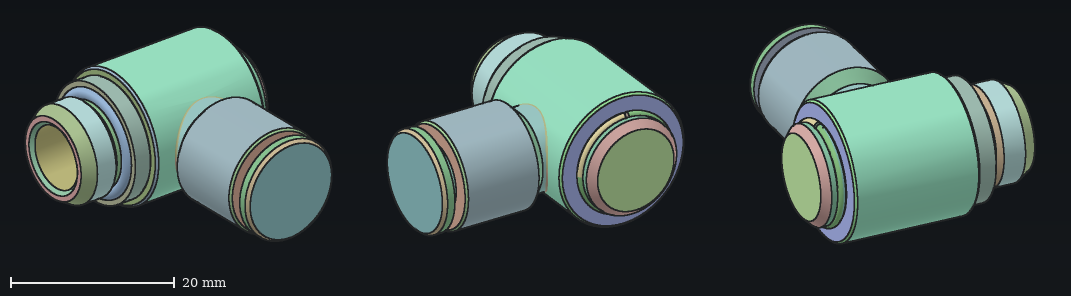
import cadquery as cq
import math


sleeve_radius = 9.0
sleeve_half_length = 8.5
sleeve_chamfer = 0.3

neck_radius = 5.5
neck_fillet = 0.2
cone_start = 9.6
barrel_radius = 7.0
barrel_start = cone_start + barrel_radius - neck_radius
barrel_end = 21.55
barrel_chamfer = 0.3
collet_radius = 4.65
collet_taper = 0.3
flange_radius = 6.75
flange_start = 23.05
branch_end = 24.6
flange_chamfer_length = 0.5
flange_chamfer_depth = 0.4

stem_radius = 6.5
end_radius = 5.5
collar_radius = 8.0
undercut_radius = 5.8

rear_end = 11.5
rear_chamfer = stem_radius - end_radius
collar_chamfer = 0.2
collar_front = -11.05
undercut_front = -12.15
thread_start = undercut_front - (stem_radius - undercut_radius)
thread_end = -15.75
front_end = -17.5

seal_center_radius = 6.4
seal_tube_radius = 0.88
seal_front = -11.7
seal_center = seal_front + seal_tube_radius

groove_floor_radius = 6.0
groove_rear = 9.7
ring_center = (sleeve_half_length + groove_rear) / 2
ring_center_radius = 6.4
ring_tube_radius = 0.5
ring_gap = 0.5

bore_radius = 4.2
bore_mouth_radius = 4.75
bore_countersink_depth = 0.5
bore_floor = neck_radius


def revolve_about_y(points):
    """Solid of revolution about Y from (radius, y) points."""
    return cq.Workplane("XY").polyline(points).close().revolve(360, (0, 0), (0, 1))


def ring_about_y(center_radius, tube_radius, y):
    """Round-section ring about Y."""
    section = cq.Workplane("XY").center(center_radius, y).circle(tube_radius)
    return section.revolve(360, (-center_radius, 0), (-center_radius, 1))


def y_cylinder(radius, y_start, y_end):
    """Cylinder about Y between two places."""
    return cq.Workplane("XZ", origin=(0, y_start, 0)).circle(radius).extrude(y_start - y_end)


def make_branch():
    """Barrel and release collet, revolved about X as (x, radius) points."""
    return (
        cq.Workplane("XY")
        .polyline([
            (cone_start, 0),
            (cone_start, neck_radius),
            (barrel_start, barrel_radius),
            (barrel_end - barrel_chamfer, barrel_radius),
            (barrel_end, barrel_radius - barrel_chamfer),
            (barrel_end, collet_radius),
            (flange_start - collet_taper, collet_radius),
            (flange_start, collet_radius + collet_taper),
            (flange_start, flange_radius),
            (branch_end - flange_chamfer_length, flange_radius),
            (branch_end, flange_radius - flange_chamfer_depth),
            (branch_end, 0),
        ])
        .close()
        .revolve(360, (0, 0), (1, 0))
    )


def make_housing():
    """Sleeve and branch in one piece, bored through for the stem."""
    sleeve = y_cylinder(sleeve_radius, -sleeve_half_length, sleeve_half_length)
    sleeve = sleeve.faces("<Y or >Y").chamfer(sleeve_chamfer)
    neck = cq.Workplane("YZ").circle(neck_radius).extrude(cone_start)
    body = sleeve.union(neck)

    joint_near = math.sqrt(sleeve_radius**2 - neck_radius**2)
    joint_box = cq.selectors.BoxSelector(
        (joint_near - 1, -neck_radius, -neck_radius),
        (sleeve_radius + neck_fillet, neck_radius, neck_radius),
    )
    body = body.edges(joint_box).fillet(neck_fillet)

    stem_hole = y_cylinder(stem_radius, -sleeve_half_length, sleeve_half_length)
    return body.union(make_branch()).cut(stem_hole)


def make_retaining_ring():
    """Ring that fills the groove section, with a narrow gap at +Z."""
    ring = ring_about_y(ring_center_radius, ring_tube_radius, ring_center)
    gap = (
        cq.Workplane("XY", origin=(0, ring_center, 0))
        .rect(ring_gap, 2 * ring_tube_radius)
        .extrude(ring_center_radius + ring_tube_radius)
    )
    return ring.cut(gap)


def make_stem_bore():
    """Countersunk blind bore opening at the front end."""
    return revolve_about_y([
        (0, front_end),
        (bore_mouth_radius, front_end),
        (bore_radius, front_end + bore_countersink_depth),
        (bore_radius, bore_floor),
        (0, bore_floor),
    ])


def make_stem():
    """Hollow stem with its collar, sealing ring and retaining ring."""
    collar_rear = -sleeve_half_length
    turned = revolve_about_y([
        (0, rear_end),
        (end_radius, rear_end),
        (stem_radius, rear_end - rear_chamfer),
        (stem_radius, groove_rear),
        (groove_floor_radius, groove_rear),
        (groove_floor_radius, sleeve_half_length),
        (stem_radius, sleeve_half_length),
        (stem_radius, collar_rear),
        (collar_radius - collar_chamfer, collar_rear),
        (collar_radius, collar_rear - collar_chamfer),
        (collar_radius, collar_front),
        (undercut_radius, collar_front),
        (undercut_radius, undercut_front),
        (stem_radius, thread_start),
        (stem_radius, thread_end),
        (end_radius, front_end),
        (0, front_end),
    ])
    seal = ring_about_y(seal_center_radius, seal_tube_radius, seal_center)
    return turned.union(seal).union(make_retaining_ring()).cut(make_stem_bore())


housing = make_housing()
stem = make_stem()
result = cq.Compound.makeCompound([housing.solids().val(), stem.solids().val()])